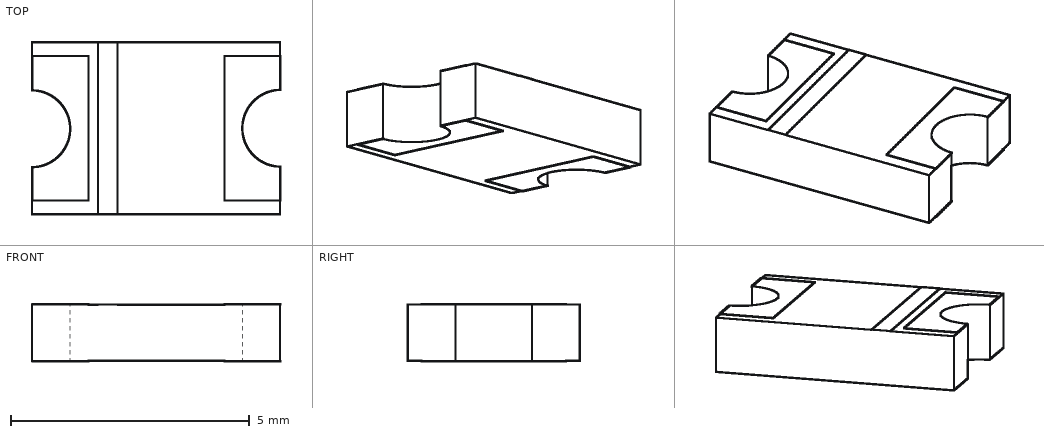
import cadquery as cq

total_length = 5.21
width = 3.6
total_height = 1.2

pad_thickness = 0.01
pad_length = 1.17
pad_width = 3.02
pad_shift = 0.01

body_length = total_length - pad_shift
body_height = total_height - 2 * pad_thickness
notch_radius = 0.8
left_notch_offset = -0.01

stripe_left = 1.385
stripe_width = 0.41
stripe_thickness = 0.005


def plate(left, length, depth, bottom, thickness):
    """Box starting at X = left and Z = bottom, centred on Y."""
    return (
        cq.Workplane("XY")
        .box(length, depth, thickness, centered=(False, True, False))
        .translate((left, 0, bottom))
    )


result = plate(0, body_length, width, 0, body_height)

for pad_left in (pad_shift, total_length - pad_length):
    for pad_bottom in (-pad_thickness, body_height):
        result = result.union(plate(pad_left, pad_length, pad_width, pad_bottom, pad_thickness))

result = result.union(plate(stripe_left, stripe_width, width, body_height, stripe_thickness))

notches = (
    cq.Workplane("XY", origin=(0, 0, -pad_thickness))
    .pushPoints([(0, left_notch_offset), (total_length, 0)])
    .circle(notch_radius)
    .extrude(total_height)
)
result = result.cut(notches)